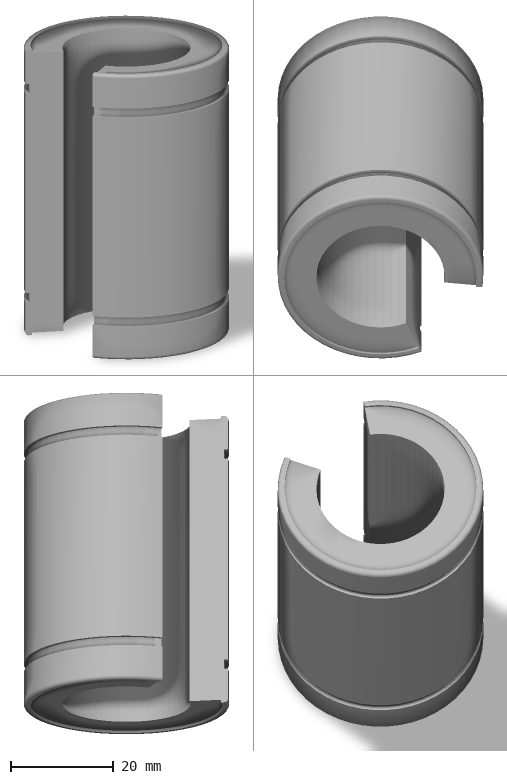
import cadquery as cq
import math

length = 58.0
outer_radius = 20.0
bore_radius = 12.45
opening_angle = 60.0

edge_radius = 0.65
recess_radius = 18.7
recess_depth = 0.5

groove_offset = 6.8
groove_width = 1.85
groove_depth = 0.75


def disc(radius, bottom, height):
    """Solid cylinder on the Z axis starting at the given height."""
    return cq.Workplane("XY").workplane(offset=bottom).circle(radius).extrude(height)


def retaining_groove(bottom):
    """Ring that cuts one retaining-ring groove."""
    floor = disc(outer_radius - groove_depth, bottom, groove_width)
    return disc(outer_radius, bottom, groove_width).cut(floor)


def opening():
    """Wedge from the axis that opens the sleeve along its full length."""
    reach = 2 * outer_radius
    half_width = reach * math.tan(math.radians(opening_angle / 2))
    return (
        cq.Workplane("XY")
        .workplane(offset=-length / 2)
        .polyline([(0, 0), (-half_width, -reach), (half_width, -reach)])
        .close()
        .extrude(length)
    )


half_length = length / 2
sleeve = disc(outer_radius, -half_length, length).edges("%CIRCLE").fillet(edge_radius)
sleeve = sleeve.cut(disc(bore_radius, -half_length, length))

for recess_bottom in (-half_length, half_length - recess_depth):
    sleeve = sleeve.cut(disc(recess_radius, recess_bottom, recess_depth))

lower_groove = -half_length + groove_offset
upper_groove = half_length - groove_offset - groove_width
for groove_bottom in (lower_groove, upper_groove):
    sleeve = sleeve.cut(retaining_groove(groove_bottom))

result = sleeve.cut(opening())